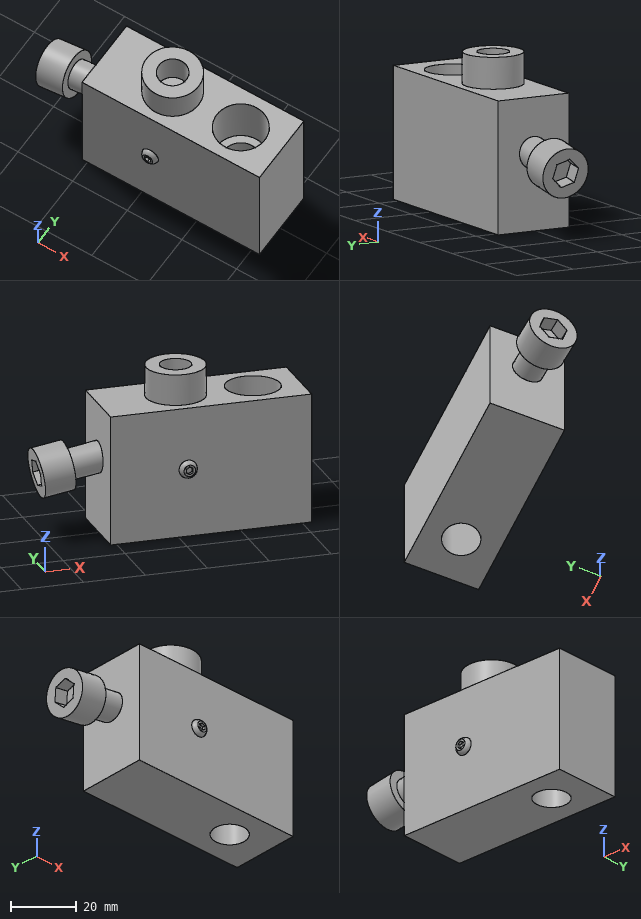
import cadquery as cq
import math

BLOCK_LENGTH = 65.0
BLOCK_WIDTH = 25.0
BLOCK_HEIGHT = 42.0

BOSS_X = 25.0
BOSS_DIAMETER = 19.0
BOSS_HEIGHT = 10.0
BOSS_BORE_DIAMETER = 10.0

HOLE_X = 50.0
HOLE_DIAMETER = 12.05
COUNTERBORE_DIAMETER = 17.5
COUNTERBORE_DEPTH = 17.2

BUTTON_Z = 22.0
BUTTON_BASE_DIAMETER = 5.85
BUTTON_TIP_DIAMETER = 3.7
BUTTON_HEIGHT = 1.6
BUTTON_BULGE = 0.2
BUTTON_HEX_FLATS = 2.15
BUTTON_HEX_DEPTH = 1.0

SCREW_TILT = 9.0
SCREW_ENTRY_Z = 24.6
SCREW_PROJECTION = 20.05
SHANK_DIAMETER = 10.0
SHANK_INSERTION = 10.0
HEAD_DIAMETER = 16.0
HEAD_LENGTH = 10.0
SOCKET_FLATS = 8.0
SOCKET_DEPTH = 5.0
SOCKET_TURN = 44.0


def hexagon_diameter(across_flats):
    """Diameter of the circle through the corners of a hexagon."""
    return across_flats / math.cos(math.radians(30))


def make_button():
    """Revolved dome with a hexagonal socket, pointing along -Y."""
    base_radius = BUTTON_BASE_DIAMETER / 2
    tip_radius = BUTTON_TIP_DIAMETER / 2
    dome_middle = (
        (base_radius + tip_radius) / 2 + BUTTON_BULGE,
        BUTTON_HEIGHT / 2 + BUTTON_BULGE,
    )
    dome = (
        cq.Workplane("XZ")
        .moveTo(0, 0)
        .lineTo(base_radius, 0)
        .threePointArc(dome_middle, (tip_radius, BUTTON_HEIGHT))
        .lineTo(0, BUTTON_HEIGHT)
        .close()
        .revolve(360, (0, 0), (0, 1))
    )
    socket = (
        cq.Workplane("XY", origin=(0, 0, BUTTON_HEIGHT))
        .transformed(rotate=(0, 0, 90))
        .polygon(6, hexagon_diameter(BUTTON_HEX_FLATS))
        .extrude(-BUTTON_HEX_DEPTH)
    )
    button = dome.cut(socket).rotate((0, 0, 0), (1, 0, 0), 90)
    return button.translate((BOSS_X, -BLOCK_WIDTH / 2, BUTTON_Z))


def make_screw():
    """Screw along its tilted axis; the plane normal points from head to shank tip."""
    tilt = math.radians(SCREW_TILT)
    direction = cq.Vector(math.cos(tilt), 0, math.sin(tilt))
    entry = cq.Vector(0, 0, SCREW_ENTRY_Z)
    head_plane = cq.Plane(
        origin=entry - direction * SCREW_PROJECTION,
        xDir=(0, 1, 0),
        normal=direction,
    )
    head = cq.Workplane(head_plane).circle(HEAD_DIAMETER / 2).extrude(HEAD_LENGTH)
    shank = cq.Workplane(head_plane).circle(SHANK_DIAMETER / 2).extrude(SCREW_PROJECTION + SHANK_INSERTION)
    socket = (
        cq.Workplane(head_plane)
        .transformed(rotate=(0, 0, SOCKET_TURN))
        .polygon(6, hexagon_diameter(SOCKET_FLATS))
        .extrude(SOCKET_DEPTH)
    )
    return head.union(shank).cut(socket)


def make_housing(screw):
    """Block with boss, button and holes, including the hole that the screw fills."""
    block = cq.Workplane("XY").box(
        BLOCK_LENGTH, BLOCK_WIDTH, BLOCK_HEIGHT, centered=(False, True, False)
    )
    boss = (
        cq.Workplane("XY", origin=(BOSS_X, 0, BLOCK_HEIGHT))
        .circle(BOSS_DIAMETER / 2)
        .circle(BOSS_BORE_DIAMETER / 2)
        .extrude(BOSS_HEIGHT)
    )
    counterbored_block = (
        block.faces(">Z")
        .workplane(origin=(HOLE_X, 0, BLOCK_HEIGHT))
        .cboreHole(HOLE_DIAMETER, COUNTERBORE_DIAMETER, COUNTERBORE_DEPTH)
    )
    return counterbored_block.union(boss).union(make_button()).cut(screw)


screw = make_screw()
housing = make_housing(screw)

result = cq.Compound.makeCompound([housing.val(), screw.val()])